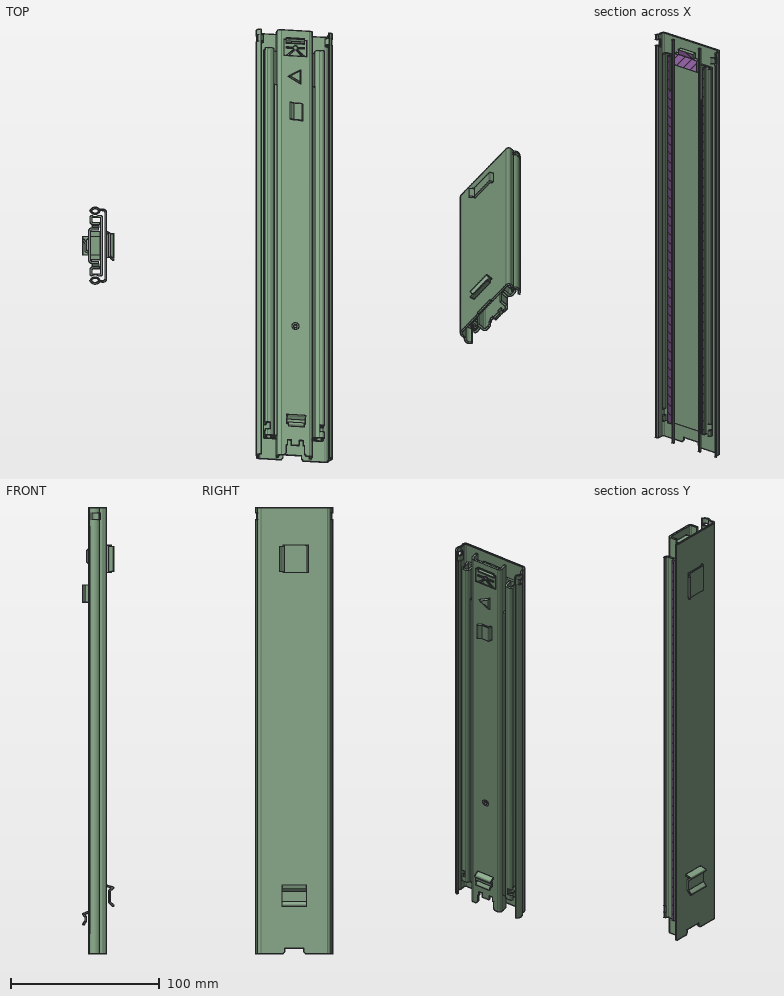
import cadquery as cq
import math

LENGTH = 300.0
Z_BOTTOM = -LENGTH / 2
WIDTH = 52.0
DEPTH = 21.0

OUTER_BACK = 5.7
OUTER_SHEET = 1.2
OUTER_BEND = 2.5
SHOULDER_Y = 24.5
RACE_X = -2.0
RACE_RADIUS = 4.0
RACE_Y = WIDTH / 2 - RACE_RADIUS
RACE_START_ANGLE = 40
RACE_END_ANGLE = 160
TAB_BOTTOM = 142.0
TAB_HEIGHT = 4.5
TAB_RADIUS = 3.5
TAB_SHEET = 1.0
TAB_START_ANGLE = 200
TAB_END_ANGLE = 340
TAB_CENTER_Y = 24.5
TAB_WINDOW_FRONT = -4.2
TAB_WINDOW_BACK = 1.5

MIDDLE_BACK = 3.0
MIDDLE_FRONT = -5.7
MIDDLE_SHEET = 1.5
MIDDLE_SIDE_Y = 20.5
MIDDLE_INNER_Y = 14.0
MIDDLE_LIP_BEND = 2.5
MIDDLE_RETURN_END = 1.0
MIDDLE_TOP = 137.0
MIDDLE_BOTTOM = -136.2
GROOVE_RADIUS = 3.0
GROOVE_DEPTH = 1.0
LIP_GAP_BOTTOM = -132.0
LIP_GAP_HEIGHT = 4.8
LIP_GAP_INNER_Y = 17.0

INNER_FRONT = -6.5
INNER_SHEET = 1.5
INNER_BACK = INNER_FRONT + INNER_SHEET
INNER_SIDE_Y = 12.0
INNER_BEND = 2.5
INNER_FLANGE_END = 0.3

NOTCH_HALF = 6.3
NOTCH_MOUTH_HALF = 7.5
NOTCH_FLARE = 1.5
OUTER_NOTCH_TOP = -146.5
INNER_NOTCH_TOP = -142.8
SLOT_HALF = 5.5
SLOT_TOP = -139.2
TONGUE_HALF = 2.7

CAGE_TOP = 112.0
CAGE_BOTTOM = -136.0
CAGE_CLEARANCE = 0.3
CAGE_FRONT = -4.2
CAGE_BACK = 0.5

WINDOW_BOTTOM = 132.0
LATCH_HALF = 7.8
LATCH_TOP = 143.5
LATCH_FRONT = -6.0
LATCH_BACK = 1.2
BUMPER_HALF = 6.3
BUMPER_BOTTOM = 140.7
BUMPER_TOP = 144.5
BUMPER_BACK = 1.5
BUMPER_GROOVE_DEPTH = 1.0
BUMPER_MARGIN = 0.5
RIB_WIDTH = 1.0
LATCH_HUB_Z = 137.7
LATCH_HUB_RADIUS = 1.5

RIVET_Z = -58.8
RIVET_RADIUS = 2.5
RIVET_BORE_RADIUS = 1.2

ARROW_Z = 117.3
ARROW_TIP_Y = 5.0
ARROW_BASE_Y = -3.5
ARROW_HALF = 5.0
ARROW_HEIGHT = 1.2
ARROW_TAPER = 30

HOOK_SHEET = 1.2
HOOK_GAP = 1.2
INNER_HOOK_HEIGHT = DEPTH / 2 + INNER_FRONT
OUTER_HOOK_HEIGHT = DEPTH / 2 - OUTER_BACK
HOOK_LIP = 2.5
HOOK_RISE = 1.8
HOOK_ARCH = 4.2
OUTER_SIDE_LENGTH = 19.8
OUTER_SIDE_WIDTH = 18.5
OUTER_SIDE_TIP = 16.8
OUTER_SIDE_Z = 115.5
OUTER_DOWN_LENGTH = 14.7
OUTER_DOWN_WIDTH = 16.2
OUTER_DOWN_TOP = -103.5
INNER_SIDE_LENGTH = 10.0
INNER_SIDE_WIDTH = 11.7
INNER_SIDE_ROOT_Y = -5.5
INNER_SIDE_Z = 92.0
INNER_DOWN_LENGTH = 9.5
INNER_DOWN_WIDTH = 12.5
INNER_DOWN_TIP = 10.8
INNER_DOWN_TOP = -121.2


def box(x0, x1, y0, y1, z0, z1):
    return cq.Workplane("XY").box(x1 - x0, y1 - y0, z1 - z0, centered=False).translate((x0, y0, z0))


def polar(center, radius, angle):
    turn = math.radians(angle)
    return (center[0] + radius * math.cos(turn), center[1] + radius * math.sin(turn))


def arc_to(sketch, center, radius, start, end):
    """Adds a line to the arc's start and then the arc, angles in degrees."""
    sketch = sketch.lineTo(*polar(center, radius, start))
    return sketch.threePointArc(polar(center, radius, (start + end) / 2), polar(center, radius, end))


def both_sides(half):
    return half.union(half.mirror("XZ"))


def bottom_notch(x0, x1, top):
    """Notch through a web, flared at its mouth."""
    points = [
        (-NOTCH_MOUTH_HALF, Z_BOTTOM),
        (-NOTCH_HALF, Z_BOTTOM + NOTCH_FLARE),
        (-NOTCH_HALF, top),
        (NOTCH_HALF, top),
        (NOTCH_HALF, Z_BOTTOM + NOTCH_FLARE),
        (NOTCH_MOUTH_HALF, Z_BOTTOM),
    ]
    return cq.Workplane("YZ").polyline(points).close().extrude(x1 - x0).translate((x0, 0, 0))


def hook(length, width, tip_width, height, arched):
    """Hook standing on the plane x = 0, running from y = 0 to -Y, with its tip flared to +X."""
    half = HOOK_SHEET / 2
    crest = height - half
    flat = HOOK_GAP + half
    end = half - length
    path = [(-half, -half)]
    if arched:
        path += [(crest, -HOOK_ARCH / 2), (flat, -HOOK_ARCH)]
    else:
        path += [(flat, -HOOK_RISE)]
    path += [(flat, end + HOOK_LIP), (crest, end)]
    strip = cq.Workplane("XY").polyline(path).offset2D(half).extrude(width / 2, both=True)
    shoulder_y = HOOK_LIP - length
    wide = box(-HOOK_SHEET, height, shoulder_y, HOOK_SHEET, -width / 2, width / 2)
    tip = box(-HOOK_SHEET, height, -length, shoulder_y, -tip_width / 2, tip_width / 2)
    return strip.intersect(wide.union(tip))


def turn_down(part):
    """Turns a hook that runs to -Y so that it runs to -Z."""
    return part.rotate((0, 0, 0), (1, 0, 0), 90)


def face_front(part):
    """Turns a hook that stands to +X so that it stands to -X."""
    return part.rotate((0, 0, 0), (0, 0, 1), 180)


def outer_hooks():
    side = hook(OUTER_SIDE_LENGTH, OUTER_SIDE_WIDTH, OUTER_SIDE_TIP, OUTER_HOOK_HEIGHT, arched=False)
    side = side.translate((OUTER_BACK, OUTER_SIDE_LENGTH / 2, OUTER_SIDE_Z))
    down = hook(OUTER_DOWN_LENGTH, OUTER_DOWN_WIDTH, OUTER_DOWN_WIDTH, OUTER_HOOK_HEIGHT, arched=True)
    down = turn_down(down).translate((OUTER_BACK, 0, OUTER_DOWN_TOP))
    return side.union(down)


def inner_hooks():
    side = hook(INNER_SIDE_LENGTH, INNER_SIDE_WIDTH, INNER_SIDE_WIDTH, INNER_HOOK_HEIGHT, arched=False)
    side = face_front(side).translate((INNER_FRONT, INNER_SIDE_ROOT_Y, INNER_SIDE_Z))
    down = hook(INNER_DOWN_LENGTH, INNER_DOWN_WIDTH, INNER_DOWN_TIP, INNER_HOOK_HEIGHT, arched=True)
    down = face_front(turn_down(down)).translate((INNER_FRONT, 0, INNER_DOWN_TOP))
    return side.union(down)


def stop_tab():
    """Strip of the flange pressed inwards as an arc."""
    center = (RACE_X, TAB_CENTER_Y)
    sketch = cq.Workplane("XY").moveTo(*polar(center, TAB_RADIUS, TAB_START_ANGLE))
    sketch = sketch.threePointArc(polar(center, TAB_RADIUS, 270), polar(center, TAB_RADIUS, TAB_END_ANGLE))
    sketch = arc_to(sketch, center, TAB_RADIUS - TAB_SHEET, TAB_END_ANGLE, TAB_START_ANGLE).close()
    return sketch.extrude(TAB_HEIGHT).translate((0, 0, TAB_BOTTOM))


def build_outer_rail():
    bend = (OUTER_BACK - OUTER_BEND, SHOULDER_Y - OUTER_BEND)
    race = (RACE_X, RACE_Y)
    web_inside = OUTER_BACK - OUTER_SHEET
    sketch = cq.Workplane("XY").moveTo(OUTER_BACK, 0)
    sketch = arc_to(sketch, bend, OUTER_BEND, 0, 90)
    sketch = arc_to(sketch, race, RACE_RADIUS, RACE_START_ANGLE, RACE_END_ANGLE)
    sketch = arc_to(sketch, race, RACE_RADIUS - OUTER_SHEET, RACE_END_ANGLE, RACE_START_ANGLE)
    sketch = arc_to(sketch, bend, OUTER_BEND - OUTER_SHEET, 90, 0)
    half = sketch.lineTo(web_inside, 0).close().extrude(LENGTH).translate((0, 0, Z_BOTTOM))
    window = box(TAB_WINDOW_FRONT, TAB_WINDOW_BACK, RACE_Y, WIDTH, TAB_BOTTOM, TAB_BOTTOM + TAB_HEIGHT)
    half = half.cut(window).union(stop_tab())
    rail = both_sides(half).cut(bottom_notch(web_inside, OUTER_BACK, OUTER_NOTCH_TOP))
    return rail.union(outer_hooks())


def build_middle_rail():
    """Web with a folded hollow flange along each side."""
    sheet = MIDDLE_SHEET
    web_inside = MIDDLE_BACK - sheet
    lip_bend = (MIDDLE_FRONT + MIDDLE_LIP_BEND, MIDDLE_INNER_Y + MIDDLE_LIP_BEND)
    sketch = cq.Workplane("XY").moveTo(MIDDLE_BACK, 0)
    sketch = arc_to(sketch, (web_inside, MIDDLE_SIDE_Y - sheet), sheet, 0, 90)
    sketch = arc_to(sketch, (MIDDLE_FRONT + sheet, MIDDLE_SIDE_Y - sheet), sheet, 90, 180)
    sketch = arc_to(sketch, lip_bend, MIDDLE_LIP_BEND, 180, 270)
    sketch = sketch.lineTo(MIDDLE_RETURN_END, MIDDLE_INNER_Y)
    sketch = sketch.lineTo(MIDDLE_RETURN_END, MIDDLE_INNER_Y + sheet)
    sketch = arc_to(sketch, lip_bend, MIDDLE_LIP_BEND - sheet, 270, 180)
    sketch = sketch.lineTo(MIDDLE_FRONT + sheet, MIDDLE_SIDE_Y - sheet)
    sketch = sketch.lineTo(web_inside, MIDDLE_SIDE_Y - sheet).lineTo(web_inside, 0).close()
    half = sketch.extrude(MIDDLE_TOP - MIDDLE_BOTTOM)
    groove_y = MIDDLE_SIDE_Y - GROOVE_DEPTH + GROOVE_RADIUS
    groove = cq.Workplane("XY").center(RACE_X, groove_y).circle(GROOVE_RADIUS).extrude(LENGTH)
    half = half.cut(groove).translate((0, 0, MIDDLE_BOTTOM))
    lip_gap = box(MIDDLE_FRONT, web_inside, LIP_GAP_INNER_Y, MIDDLE_SIDE_Y,
                  LIP_GAP_BOTTOM, LIP_GAP_BOTTOM + LIP_GAP_HEIGHT)
    return both_sides(half.cut(lip_gap))


def latch_window():
    lower = box(INNER_FRONT, INNER_BACK, -LATCH_HALF, LATCH_HALF, WINDOW_BOTTOM, LATCH_TOP)
    upper = box(INNER_FRONT, INNER_BACK, -BUMPER_HALF, BUMPER_HALF, BUMPER_BOTTOM, BUMPER_TOP)
    return lower.union(upper)


def rivet_cylinder(radius):
    front = cq.Workplane("YZ", origin=(INNER_FRONT, 0, RIVET_Z))
    return front.circle(radius).extrude(INNER_SHEET)


def arrow_boss():
    points = [
        (ARROW_TIP_Y, ARROW_Z),
        (ARROW_BASE_Y, ARROW_Z + ARROW_HALF),
        (ARROW_BASE_Y, ARROW_Z - ARROW_HALF),
    ]
    boss = cq.Workplane("YZ").polyline(points).close().extrude(-ARROW_HEIGHT, taper=ARROW_TAPER)
    return boss.translate((INNER_FRONT, 0, 0))


def build_inner_rail():
    bend = (INNER_FRONT + INNER_BEND, INNER_SIDE_Y - INNER_BEND)
    sketch = cq.Workplane("XY").moveTo(INNER_FRONT, 0)
    sketch = arc_to(sketch, bend, INNER_BEND, 180, 90)
    sketch = sketch.lineTo(INNER_FLANGE_END, INNER_SIDE_Y)
    sketch = sketch.lineTo(INNER_FLANGE_END, INNER_SIDE_Y - INNER_SHEET)
    sketch = arc_to(sketch, bend, INNER_BEND - INNER_SHEET, 90, 180)
    half = sketch.lineTo(INNER_BACK, 0).close().extrude(LENGTH).translate((0, 0, Z_BOTTOM))
    slots = both_sides(box(INNER_FRONT, INNER_BACK, TONGUE_HALF, SLOT_HALF, INNER_NOTCH_TOP, SLOT_TOP))
    rail = both_sides(half).cut(bottom_notch(INNER_FRONT, INNER_BACK, INNER_NOTCH_TOP)).cut(slots)
    rail = rail.cut(latch_window()).cut(rivet_cylinder(RIVET_RADIUS))
    return rail.union(arrow_boss()).union(inner_hooks())


def build_ball_cage(side):
    near = INNER_SIDE_Y + CAGE_CLEARANCE
    far = MIDDLE_INNER_Y - CAGE_CLEARANCE
    cage = box(CAGE_FRONT, CAGE_BACK, near, far, CAGE_BOTTOM, CAGE_TOP)
    return cage if side > 0 else cage.mirror("XZ")


def build_bumper():
    """Block with a V groove across its front."""
    block = box(LATCH_FRONT, BUMPER_BACK, -BUMPER_HALF, BUMPER_HALF, BUMPER_BOTTOM, BUMPER_TOP)
    groove_points = [
        (LATCH_FRONT, BUMPER_BOTTOM + BUMPER_MARGIN),
        (LATCH_FRONT + BUMPER_GROOVE_DEPTH, (BUMPER_BOTTOM + BUMPER_TOP) / 2),
        (LATCH_FRONT, BUMPER_TOP - BUMPER_MARGIN),
    ]
    groove = cq.Workplane("XZ").polyline(groove_points).close().extrude(BUMPER_HALF, both=True)
    return block.cut(groove)


def build_latch():
    """Plate filling the window around the bumper, ribs that meet at a hub, and a wider body behind."""
    plate = box(LATCH_FRONT, INNER_BACK, -LATCH_HALF, LATCH_HALF, WINDOW_BOTTOM, LATCH_TOP)
    plate = plate.cut(box(LATCH_FRONT, INNER_BACK, -BUMPER_HALF, BUMPER_HALF, BUMPER_BOTTOM, LATCH_TOP))
    foot = [(BUMPER_HALF, WINDOW_BOTTOM), (BUMPER_HALF - 2 * RIB_WIDTH, WINDOW_BOTTOM)]
    front = cq.Workplane("YZ", origin=(INNER_FRONT, 0, 0))
    height = LATCH_FRONT - INNER_FRONT
    leg = front.polyline(foot + [(0, LATCH_HUB_Z - RIB_WIDTH), (0, LATCH_HUB_Z)]).close().extrude(height)
    hub = front.center(0, LATCH_HUB_Z).circle(LATCH_HUB_RADIUS).extrude(height)
    bar = front.center(0, LATCH_HUB_Z).rect(2 * BUMPER_HALF, RIB_WIDTH).extrude(height)
    body_half = INNER_SIDE_Y - INNER_BEND
    body = box(INNER_BACK, LATCH_BACK, -body_half, body_half, WINDOW_BOTTOM, BUMPER_BOTTOM)
    return plate.union(body).union(both_sides(leg)).union(hub).union(bar)


def build_rivet():
    return rivet_cylinder(RIVET_RADIUS).cut(rivet_cylinder(RIVET_BORE_RADIUS))


outer_rail = build_outer_rail()
middle_rail = build_middle_rail()
inner_rail = build_inner_rail()
ball_cages = [build_ball_cage(side) for side in (1, -1)]
bumper = build_bumper()
latch = build_latch()
rivet = build_rivet()

result = cq.Compound.makeCompound([
    outer_rail.val(),
    middle_rail.val(),
    inner_rail.val(),
    *[cage.val() for cage in ball_cages],
    bumper.val(),
    latch.val(),
    rivet.val(),
])